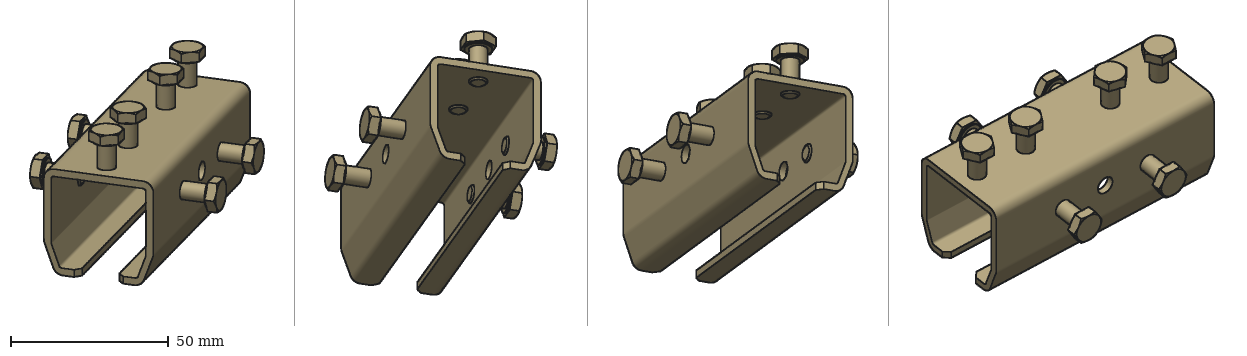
import cadquery as cq
import math

length = 90.0
channel_width = 37.0
channel_height = 36.0
sheet = 2.5
inner_bend_radius = 1.0
outer_bend_radius = inner_bend_radius + sheet
lean_angle = math.radians(20)
lean_start_height = 11.0
slot_half_width = 6.3
lip_chamfer = 2.0

shank_diameter = 6.0
shank_length = 12.0
tip_diameter = 4.95
tip_chamfer = (shank_diameter - tip_diameter) / 2
across_flats = 10.0
across_corners = across_flats / math.cos(math.radians(30))
head_height = 4.05
washer_face_diameter = 8.9
washer_face_height = 0.5
head_chamfer_angle = math.radians(30)

overall_width = 62.7
overall_height = 48.9
side_bolt_height = 23.0
inner_bolt_offset = 17.5
outer_bolt_offset = 37.5
turned_bolt_angle = -15.0
underhead_height = overall_height - head_height
underhead_reach = overall_width / 2 - head_height


def profile_half(inset):
    """Corner points of the sheet surface lying `inset` inside the outside, from lip tip to top centre."""
    half_width = channel_width / 2 - inset
    bend_height = lean_start_height - inset * math.tan(lean_angle / 2)
    lean_run = (bend_height - inset) * math.tan(lean_angle)
    return [
        (slot_half_width, inset),
        (half_width - lean_run, inset),
        (half_width, bend_height),
        (half_width, channel_height - inset),
        (0, channel_height - inset),
    ]


def bend_edges(body, corners):
    """Lengthwise edges at the bends of a profile half, on both sides of the channel."""
    edges = []
    for x, z in corners[1:-1]:
        for side in (-1, 1):
            nearest = cq.selectors.NearestToPointSelector((side * x, 0, z))
            edges.extend(body.edges("|Y").edges(nearest).vals())
    return edges


def make_channel():
    outside = profile_half(0)
    inside = profile_half(sheet)
    right_half = outside + inside[::-1]
    half = cq.Workplane("XZ").polyline(right_half).close().extrude(length / 2, both=True)
    body = half.union(half.mirror("YZ"))
    body = body.newObject(bend_edges(body, outside)).fillet(outer_bend_radius)
    body = body.newObject(bend_edges(body, inside)).fillet(inner_bend_radius)
    return chamfer_lips(body)


def chamfer_lips(body):
    """Cut the four corners of the lips, where the slot meets the ends."""
    lip_corners = []
    for side in (-1, 1):
        for end in (-1, 1):
            corner = (side * slot_half_width, end * length / 2, sheet / 2)
            nearest = cq.selectors.NearestToPointSelector(corner)
            lip_corners.extend(body.edges("|Z").edges(nearest).vals())
    return body.newObject(lip_corners).chamfer(lip_chamfer)


def make_bolt():
    """Hex bolt along Z: underside of the head at the origin, shank downwards, hex corners on Y."""
    top_radius = across_flats / 2
    corner_radius = across_corners / 2
    corner_drop = (corner_radius - top_radius) * math.tan(head_chamfer_angle)
    hexagon = (
        cq.Workplane("XY", origin=(0, 0, washer_face_height))
        .polygon(6, across_corners)
        .extrude(head_height - washer_face_height)
        .rotate((0, 0, 0), (0, 0, 1), 30)
    )
    blank = (
        cq.Workplane("XZ")
        .lineTo(corner_radius, 0)
        .lineTo(corner_radius, head_height - corner_drop)
        .lineTo(top_radius, head_height)
        .lineTo(0, head_height)
        .close()
        .revolve(360, (0, 0, 0), (0, 1, 0))
    )
    washer_face = cq.Workplane("XY").circle(washer_face_diameter / 2).extrude(washer_face_height)
    shank = (
        cq.Workplane("XY")
        .circle(shank_diameter / 2)
        .extrude(-shank_length)
        .faces("<Z")
        .chamfer(tip_chamfer)
    )
    return hexagon.intersect(blank).union(washer_face).union(shank)


def make_top_bolts():
    bolts = []
    for y in (outer_bolt_offset, inner_bolt_offset, -inner_bolt_offset, -outer_bolt_offset):
        turn = turned_bolt_angle if y == -inner_bolt_offset else 0
        bolt = make_bolt().rotate((0, 0, 0), (0, 0, 1), turn)
        bolts.append(bolt.translate((0, y, underhead_height)))
    return bolts


def make_side_bolts():
    bolts = []
    for side in (-1, 1):
        for y in (-inner_bolt_offset, inner_bolt_offset):
            bolt = make_bolt().rotate((0, 0, 0), (0, 1, 0), side * 90)
            bolts.append(bolt.translate((side * underhead_reach, y, side_bolt_height)))
    return bolts


def cut_holes(body):
    """Bolt holes in the top and both walls, and an empty hole in the middle of each wall."""
    radius = shank_diameter / 2
    top_places = [
        (0, end * offset) for end in (-1, 1) for offset in (inner_bolt_offset, outer_bolt_offset)
    ]
    top_holes = (
        cq.Workplane("XY", origin=(0, 0, channel_height / 2))
        .pushPoints(top_places)
        .circle(radius)
        .extrude(channel_height)
    )
    wall_places = [(y, side_bolt_height) for y in (-inner_bolt_offset, 0, inner_bolt_offset)]
    wall_holes = (
        cq.Workplane("YZ").pushPoints(wall_places).circle(radius).extrude(channel_width, both=True)
    )
    return body.cut(top_holes).cut(wall_holes)


channel = cut_holes(make_channel())
top_bolts = make_top_bolts()
side_bolts = make_side_bolts()

result = cq.Compound.makeCompound(
    [channel.val(), *[bolt.val() for bolt in top_bolts], *[bolt.val() for bolt in side_bolts]]
)